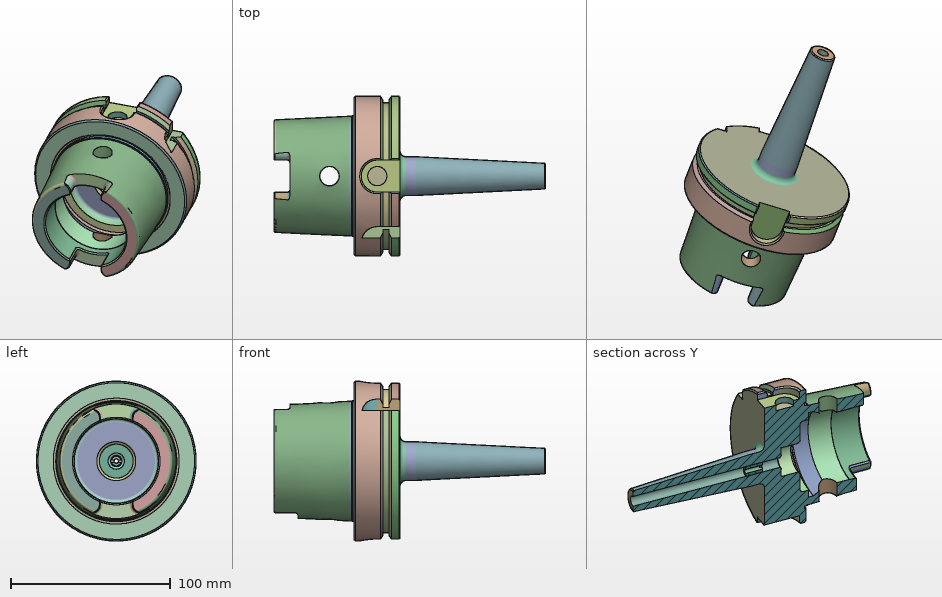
import cadquery as cq
import math


cut_clearance = 1.0
tolerance = 0.01

taper_length = 50.0
taper_large_radius = 37.5
taper_small_radius = 35.3
taper_round_end = -2.7
mouth_round = 1.5
relief_groove_start = -1.5
relief_groove_end = -0.9
relief_groove_depth = 0.15
foot_radius = 37.9

flange_radius = 50.0
flange_length = 29.0
flange_chamfer = 1.0
flange_rear_chamfer = 0.8
face_recess_depth = 1.0
face_recess_radius = 39.4
groove_center = 20.1
groove_floor_radius = 46.0
groove_shoulder_radius = 47.5
groove_half_width = 1.85
groove_half_mouth = 3.5

overall_length = 170.0
tip_x = overall_length - taper_length
tip_radius = 8.1
tip_chamfer = 0.7
shank_slope = math.tan(math.radians(2.9))
shank_cone_start = 38.8
shank_radius = tip_radius + shank_slope * (tip_x - shank_cone_start)
shank_root_fillet = 3.5

bore_radius = 26.5
bore_mouth_chamfer = 0.9
bore_step_x = -30.0
inner_bore_radius = 26.3
clamp_shoulder_x = -14.0
clamp_radius = 31.5
clamp_shoulder_angle = math.radians(30)
clamp_end_x = -2.0
bore_floor_x = 4.0
bore_floor_fillet = 2.0
tube_bore_radius = 10.6
tube_bore_mouth_radius = 12.2
tube_bore_end_x = 17.0
passage_radius = 3.5
passage_mouth_radius = 5.1
passage_mouth_angle = math.radians(59)

drive_slot_half_width = 10.0
drive_slot_depths = {1: 10.0, -1: 15.0}
drive_slot_flare_radius = 5.0
drive_slot_flare_z = 27.4
drive_slot_end_fillet = 1.5
drive_slot_edge_chamfer = 0.6
cross_hole_diameter = 12.0
cross_hole_x = -15.2
pocket_radius = 10.0
pocket_center_x = 14.7
pocket_floor = 44.0
pocket_edge_chamfer = 1.0
chip_hole_diameter = 12.0
chip_hole_depth = 4.2
corner_notch_offset = 31.6

screw_start_x = 30.0
screw_length = 12.0
screw_hole_diameter = 2.7
screw_end_chamfer = 0.5
screw_slot_width = 1.5
screw_slot_depth = 1.5


def turned(sketch):
    """Revolve a closed half profile in the XY plane about the X axis."""
    return sketch.close().revolve(360, (0, 0, 0), (1, 0, 0))


def holder_blank():
    """Outside of the holder, solid and without the gripper groove."""
    mouth_x = -taper_length
    groove_radius = taper_large_radius - relief_groove_depth
    return turned(
        cq.Workplane("XY")
        .moveTo(mouth_x, 0)
        .lineTo(mouth_x, taper_small_radius - mouth_round)
        .radiusArc((mouth_x + mouth_round, taper_small_radius), mouth_round)
        .lineTo(taper_round_end, taper_large_radius)
        .lineTo(relief_groove_start, taper_large_radius)
        .lineTo(relief_groove_start, groove_radius)
        .lineTo(relief_groove_end, groove_radius)
        .lineTo(relief_groove_end, foot_radius)
        .lineTo(face_recess_depth, foot_radius)
        .lineTo(face_recess_depth, face_recess_radius)
        .lineTo(0, face_recess_radius)
        .lineTo(0, flange_radius - flange_chamfer)
        .lineTo(flange_chamfer, flange_radius)
        .lineTo(flange_length - flange_rear_chamfer, flange_radius)
        .lineTo(flange_length, flange_radius - flange_rear_chamfer)
        .lineTo(flange_length, shank_radius + shank_root_fillet)
        .radiusArc((flange_length + shank_root_fillet, shank_radius), -shank_root_fillet)
        .lineTo(shank_cone_start, shank_radius)
        .lineTo(tip_x - tip_chamfer, tip_radius)
        .lineTo(tip_x, tip_radius - tip_chamfer)
        .lineTo(tip_x, 0)
    )


def gripper_groove():
    """Ring with sloped upper flanks that is removed from the flange rim."""
    clear_radius = flange_radius + cut_clearance
    return turned(
        cq.Workplane("XY")
        .moveTo(groove_center - groove_half_mouth, clear_radius)
        .lineTo(groove_center - groove_half_mouth, flange_radius)
        .lineTo(groove_center - groove_half_width, groove_shoulder_radius)
        .lineTo(groove_center - groove_half_width, groove_floor_radius)
        .lineTo(groove_center + groove_half_width, groove_floor_radius)
        .lineTo(groove_center + groove_half_width, groove_shoulder_radius)
        .lineTo(groove_center + groove_half_mouth, flange_radius)
        .lineTo(groove_center + groove_half_mouth, clear_radius)
    )


def axial_bore():
    """Clamping bore, coolant tube bore and the passage through the shank."""
    mouth_x = -taper_length
    clamp_start_x = clamp_shoulder_x + (clamp_radius - inner_bore_radius) / math.tan(clamp_shoulder_angle)
    tube_mouth_depth = tube_bore_mouth_radius - tube_bore_radius
    passage_mouth_depth = (passage_mouth_radius - passage_radius) / math.tan(passage_mouth_angle)
    return turned(
        cq.Workplane("XY")
        .moveTo(mouth_x, 0)
        .lineTo(mouth_x, bore_radius + bore_mouth_chamfer)
        .lineTo(mouth_x + bore_mouth_chamfer, bore_radius)
        .lineTo(bore_step_x, bore_radius)
        .lineTo(bore_step_x, inner_bore_radius)
        .lineTo(clamp_shoulder_x, inner_bore_radius)
        .lineTo(clamp_start_x, clamp_radius)
        .lineTo(clamp_end_x, clamp_radius)
        .lineTo(clamp_end_x, inner_bore_radius)
        .lineTo(bore_floor_x - bore_floor_fillet, inner_bore_radius)
        .radiusArc((bore_floor_x, inner_bore_radius - bore_floor_fillet), bore_floor_fillet)
        .lineTo(bore_floor_x, tube_bore_mouth_radius)
        .lineTo(bore_floor_x + tube_mouth_depth, tube_bore_radius)
        .lineTo(tube_bore_end_x, tube_bore_radius)
        .lineTo(tube_bore_end_x, passage_mouth_radius)
        .lineTo(tube_bore_end_x + passage_mouth_depth, passage_radius)
        .lineTo(tip_x, passage_radius)
        .lineTo(tip_x, 0)
    )


def drive_slot_outline(side):
    """Outline of a key slot in the open end of the taper, flared outwards at its rim."""
    flare_y = drive_slot_half_width + drive_slot_flare_radius
    flare_z = drive_slot_flare_z + drive_slot_flare_radius
    flare_end_y = flare_y + drive_slot_flare_radius
    return (
        cq.Workplane("YZ", origin=(-taper_length, 0, 0))
        .moveTo(-drive_slot_half_width, 0)
        .lineTo(-drive_slot_half_width, side * drive_slot_flare_z)
        .radiusArc((-flare_y, side * flare_z), -side * drive_slot_flare_radius)
        .lineTo(-flare_end_y, side * flare_z)
        .lineTo(-flare_end_y, side * flange_radius)
        .lineTo(flare_end_y, side * flange_radius)
        .lineTo(flare_end_y, side * flare_z)
        .lineTo(flare_y, side * flare_z)
        .radiusArc((drive_slot_half_width, side * drive_slot_flare_z), -side * drive_slot_flare_radius)
        .lineTo(drive_slot_half_width, 0)
        .close()
    )


def drive_slot(side):
    """Key slot with a rounded end and a chamfered mouth."""
    slot = drive_slot_outline(side).extrude(drive_slot_depths[side])
    slot = slot.faces(">X").edges().fillet(drive_slot_end_fillet)
    widened = drive_slot_outline(side).offset2D(drive_slot_edge_chamfer)
    mouth = widened.extrude(drive_slot_edge_chamfer, taper=45)
    return slot.union(mouth)


def end_milled_slot(floor_z, center_y):
    """Round-ended slot with a flat floor, open towards the shank and outwards."""
    height = flange_radius + cut_clearance - floor_z
    run = flange_length + cut_clearance - pocket_center_x
    floor = cq.Workplane("XY", origin=(pocket_center_x, center_y, floor_z))
    nose = floor.circle(pocket_radius).extrude(height)
    straight = floor.rect(run, 2 * pocket_radius, centered=(False, True)).extrude(height)
    return nose.union(straight)


def drive_slot_bore_edges(body):
    """Edges where the drive slot floors meet the bore."""
    edges = []
    for edge in body.edges("%CIRCLE").vals():
        on_bore = abs(edge.radius() - bore_radius) < tolerance
        depth = edge.Center().x + taper_length
        if on_bore and any(abs(depth - slot_depth) < tolerance for slot_depth in drive_slot_depths.values()):
            edges.append(edge)
    return edges


def flange_pocket_edges(blank):
    """Outer rims of the two flange pockets."""
    edges = []
    for edge in blank.edges().vals():
        box = edge.BoundingBox()
        middle = edge.Center()
        in_flange = box.xmin > 0 and box.xmax < flange_length
        on_pocket = abs(middle.y) < pocket_radius + tolerance
        lengthwise = box.xmax - box.xmin > 2 * flange_chamfer
        above_floor = abs(middle.z) > pocket_floor + tolerance
        if in_flange and on_pocket and lengthwise and above_floor:
            edges.append(edge)
    return edges


def build_holder():
    """Complete holder with all turned and milled features."""
    body = holder_blank()
    pocket = end_milled_slot(pocket_floor, 0)
    body = body.cut(pocket).cut(pocket.mirror("XY"))
    body = body.newObject(flange_pocket_edges(body)).chamfer(pocket_edge_chamfer)
    body = body.cut(gripper_groove())
    body = body.cut(end_milled_slot(corner_notch_offset, -corner_notch_offset - pocket_radius))
    body = body.cut(axial_bore())
    for side in (1, -1):
        body = body.cut(drive_slot(side))
    body = body.newObject(drive_slot_bore_edges(body)).chamfer(bore_mouth_chamfer)
    cross_hole = (
        cq.Workplane("XY", origin=(cross_hole_x, 0, 0))
        .circle(cross_hole_diameter / 2)
        .extrude(flange_radius, both=True)
    )
    chip_hole = (
        cq.Workplane("XY", origin=(pocket_center_x, 0, pocket_floor))
        .circle(chip_hole_diameter / 2)
        .extrude(-chip_hole_depth)
    )
    return body.cut(cross_hole).cut(chip_hole)


def build_set_screw():
    """Slotted screw with a coolant hole, filling the passage."""
    start = cq.Workplane("YZ", origin=(screw_start_x, 0, 0))
    body = start.circle(passage_radius).extrude(screw_length)
    body = body.faces("<X or >X").edges().chamfer(screw_end_chamfer)
    hole = start.circle(screw_hole_diameter / 2).extrude(screw_length)
    slot = start.rect(2 * passage_radius, screw_slot_width).extrude(screw_slot_depth)
    return body.cut(hole).cut(slot)


holder = build_holder()
set_screw = build_set_screw()
result = cq.Compound.makeCompound([holder.val(), set_screw.val()])